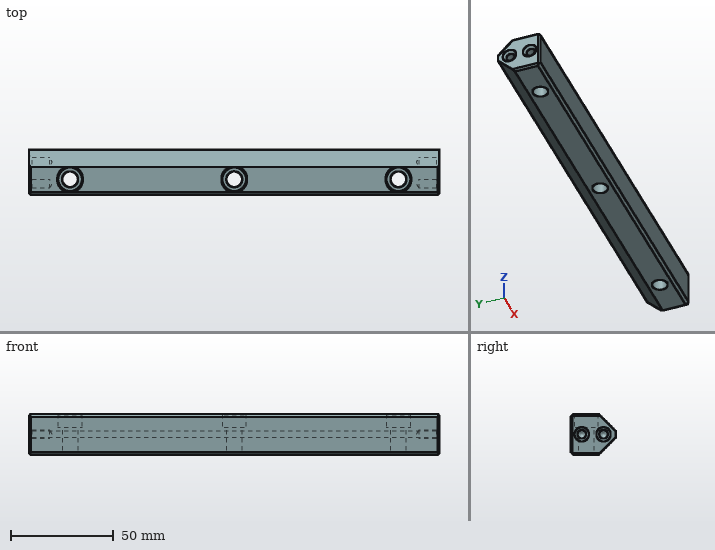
import cadquery as cq
import math

LENGTH = 200.0
DEPTH = 22.0
HEIGHT = 20.0

NOSE_FLAT = 3.0

EDGE_CHAMFER = 1.45
END_CHAMFER = 1.0

MOUNT_DIAMETER = 7.5
COUNTERBORE_DIAMETER = 11.5
COUNTERBORE_DEPTH = 6.8
COUNTERBORE_RIM = 0.5
MOUNT_PITCH = 80.0
MOUNT_COUNT = 3
MOUNT_Y = 7.5

END_HOLE_DIAMETER = 4.2
END_HOLE_DEPTH = 10.0
END_HOLE_MOUTH = 7.0
END_HOLE_Y = (5.5, 16.0)
DRILL_POINT_ANGLE = 118.0

HALF_LENGTH = LENGTH / 2
HALF_HEIGHT = HEIGHT / 2


def chamfered_block(edges):
    """Block filling the bar envelope, with the selected edges chamfered."""
    block = cq.Workplane("XY").box(LENGTH, DEPTH, HEIGHT, centered=(True, False, True))
    return block.edges(edges).chamfer(END_CHAMFER)


def make_bar():
    """Prism with a flat back and a blunt nose, chamfered along its back and at its ends."""
    nose_half_flat = NOSE_FLAT / 2
    shoulder_y = DEPTH - (HALF_HEIGHT - nose_half_flat)
    profile = [
        (0, -HALF_HEIGHT),
        (shoulder_y, -HALF_HEIGHT),
        (DEPTH, -nose_half_flat),
        (DEPTH, nose_half_flat),
        (shoulder_y, HALF_HEIGHT),
        (0, HALF_HEIGHT),
    ]
    bar = cq.Workplane("YZ").polyline(profile).close().extrude(HALF_LENGTH, both=True)
    bar = bar.faces("<Y").edges("|X").chamfer(EDGE_CHAMFER)

    return bar.intersect(chamfered_block("|Y")).intersect(chamfered_block("|Z and <Y"))


def revolved_cutter(half_section):
    """Solid of revolution about Z from (radius, height) points."""
    return cq.Workplane("XZ").polyline(half_section).close().revolve(360, (0, 0), (0, 1))


def mount_cutter():
    """Through hole with a counterbore whose rim is slightly broken at the top face."""
    hole_radius = MOUNT_DIAMETER / 2
    bore_radius = COUNTERBORE_DIAMETER / 2
    floor = HALF_HEIGHT - COUNTERBORE_DEPTH
    return revolved_cutter([
        (0, -HALF_HEIGHT),
        (hole_radius, -HALF_HEIGHT),
        (hole_radius, floor),
        (bore_radius, floor),
        (bore_radius, HALF_HEIGHT - COUNTERBORE_RIM),
        (bore_radius + COUNTERBORE_RIM, HALF_HEIGHT),
        (0, HALF_HEIGHT),
    ])


def end_hole_cutter():
    """Blind hole opening at Z = 0 and running up, with a 45 degree mouth and a drill point."""
    hole_radius = END_HOLE_DIAMETER / 2
    mouth_radius = END_HOLE_MOUTH / 2
    point_length = hole_radius / math.tan(math.radians(DRILL_POINT_ANGLE / 2))
    return revolved_cutter([
        (0, 0),
        (mouth_radius, 0),
        (hole_radius, mouth_radius - hole_radius),
        (hole_radius, END_HOLE_DEPTH),
        (0, END_HOLE_DEPTH + point_length),
    ])


result = make_bar()

for index in range(MOUNT_COUNT):
    mount_x = (index - (MOUNT_COUNT - 1) / 2) * MOUNT_PITCH
    result = result.cut(mount_cutter().translate((mount_x, MOUNT_Y, 0)))

for side in (-1, 1):
    inward_hole = end_hole_cutter().rotate((0, 0, 0), (0, 1, 0), -90 * side)
    for hole_y in END_HOLE_Y:
        result = result.cut(inward_hole.translate((side * HALF_LENGTH, hole_y, 0)))